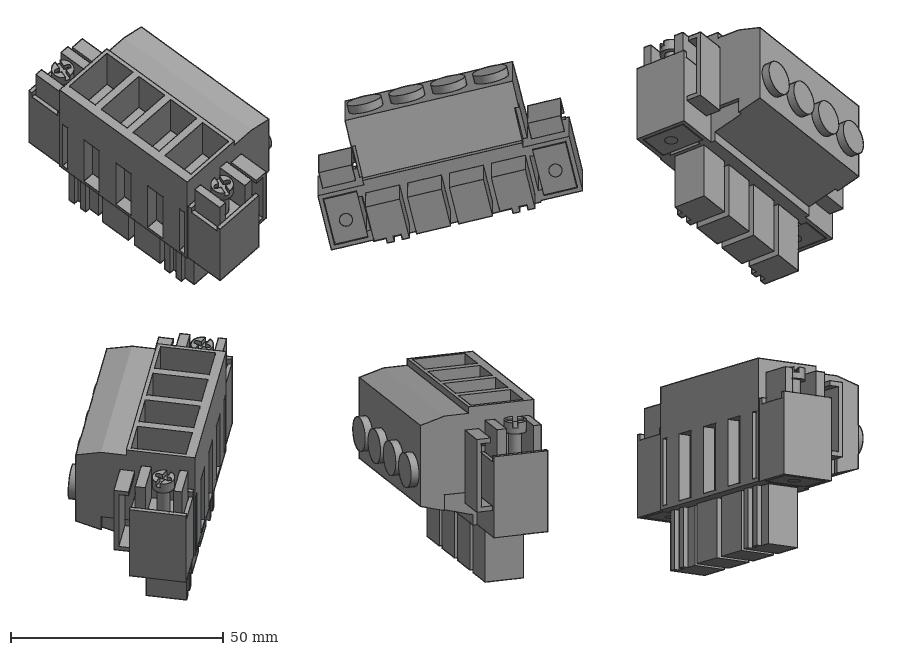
import cadquery as cq

pole_count = 4
pitch = 10.16
overlap = 0.5
pole_xs = [(i - (pole_count - 1) / 2) * pitch for i in range(pole_count)]
sides = (-1, 1)

housing_width = pole_count * pitch
half_width = housing_width / 2
housing_height = 29.65
housing_depth = 28.6
step_y = 16.5
step_z = 28.05
bevel_y = 22.5
bevel_z = 26.4
underside_back_z = 6.4
foot_y = 15.0
foot_top_z = 2.55

pole_width = 8.25
socket_front_y = 2.35
socket_back_y = 15.5
socket_depth = 12.0

window_depth = 3.05
window_bottom_z = 0.95
window_height = 16.1
window_width = 4.85
end_window_width = 1.55
end_window_inset = 0.95

tongue_length = 14.45
tongue_front_y = 2.2
tongue_back_y = 11.9
plain_tongue_setback = 0.55
key_depth = 1.3
key_rib_width = 1.7
key_groove_width = 1.95

end_recess_depth = 1.0
end_recess_back_y = 22.5
end_recess_height = 8.6

flange_width = pitch
flange_front_y = 0.35
flange_back_y = 13.9
flange_height = 20.0
flange_wall = 1.0
flange_opening_front_y = 2.9
flange_opening_back_y = 11.35
notch_bottom_z = 18.5

insert_clearance = 0.18
insert_floor_z = 16.9
insert_top_z = 26.2
insert_slot_front_y = 3.5
insert_slot_back_y = 10.3

hook_back_y = 17.8
hook_bottom_z = 6.4
hook_top_z = 24.35
hook_tip_y = 14.3
hook_thickness = 1.15

screw_y = 6.65
screw_head_diameter = 5.3
screw_head_bottom_z = 24.15
screw_head_height = 2.75
screw_shank_diameter = 3.1
cross_angle = -20
cross_width = 1.2
cross_short_length = 4.2
cross_depth = 1.25

clamp_screw_diameter = 8.3
clamp_screw_length = 2.0
clamp_screw_z = 14.1

flange_outer_x = half_width + flange_width
pocket_outer_x = flange_outer_x - flange_wall
pocket_inner_x = half_width + flange_wall
insert_outer_x = pocket_outer_x - insert_clearance
screw_x = half_width + flange_width / 2


def block(x_range, y_range, z_range):
    """Box between two limits on each axis; the X limits may come in either order."""
    x_low, x_high = sorted(x_range)
    y_low, y_high = y_range
    z_low, z_high = z_range
    size = (x_high - x_low, y_high - y_low, z_high - z_low)
    return cq.Workplane().box(*size, centered=False).translate((x_low, y_low, z_low))


def end_block(side, inner_x, outer_x, y_range, z_range):
    """Box at one end of the part; its X limits are distances from the middle."""
    return block((side * inner_x, side * outer_x), y_range, z_range)


def housing_core():
    """Side profile of the housing, extruded over all the poles."""
    profile = [
        (0, 0),
        (foot_y, 0),
        (foot_y, foot_top_z),
        (housing_depth, underside_back_z),
        (housing_depth, bevel_z),
        (bevel_y, step_z),
        (step_y, step_z),
        (step_y, housing_height),
        (0, housing_height),
    ]
    return cq.Workplane("YZ").polyline(profile).close().extrude(half_width, both=True)


def socket(x):
    """Wire socket sunk into the top of one pole."""
    z_range = (housing_height - socket_depth, housing_height + overlap)
    return block((x - pole_width / 2, x + pole_width / 2), (socket_front_y, socket_back_y), z_range)


def window(x, width):
    """Blind window in the front face."""
    z_range = (window_bottom_z, window_bottom_z + window_height)
    return block((x - width / 2, x + width / 2), (-overlap, window_depth), z_range)


def plain_tongue(x):
    """Tongue of an inner pole, set back from the keyed ones."""
    y_range = (tongue_front_y + plain_tongue_setback, tongue_back_y)
    return block((x - pole_width / 2, x + pole_width / 2), y_range, (-tongue_length, overlap))


def keyed_tongue(x):
    """Tongue of an outer pole, with two coding ribs on its front."""
    left = x - pole_width / 2
    z_range = (-tongue_length, overlap)
    key_back_y = tongue_front_y + key_depth
    tongue = block((left, left + pole_width), (key_back_y, tongue_back_y), z_range)
    for rib_left in (left, left + key_rib_width + key_groove_width):
        rib = block((rib_left, rib_left + key_rib_width), (tongue_front_y, key_back_y), z_range)
        tongue = tongue.union(rib)
    return tongue


def flange(side):
    """Sleeve open at top and bottom, with notched front and back walls and an opening to the housing."""
    full_z = (-overlap, flange_height + overlap)
    full_y = (flange_front_y, flange_back_y)
    inner_y = (flange_front_y + flange_wall, flange_back_y - flange_wall)
    opening_y = (flange_opening_front_y, flange_opening_back_y)
    notch_z = (notch_bottom_z, flange_height + overlap)
    sleeve = end_block(side, half_width, flange_outer_x, full_y, (0, flange_height))
    sleeve = sleeve.cut(end_block(side, pocket_inner_x, pocket_outer_x, inner_y, full_z))
    sleeve = sleeve.cut(end_block(side, pocket_inner_x, pocket_outer_x, full_y, notch_z))
    return sleeve.cut(end_block(side, half_width, pocket_inner_x, opening_y, full_z))


def hook(side):
    """C-shaped hook joined to the back wall of the flange by its lower arm."""
    profile = [
        (flange_back_y, hook_bottom_z),
        (hook_back_y, hook_bottom_z),
        (hook_back_y, hook_top_z),
        (hook_tip_y, hook_top_z),
        (hook_tip_y, hook_top_z - hook_thickness),
        (hook_back_y - hook_thickness, hook_top_z - hook_thickness),
        (hook_back_y - hook_thickness, hook_bottom_z + hook_thickness),
        (flange_back_y, hook_bottom_z + hook_thickness),
    ]
    width = insert_outer_x - pocket_inner_x
    middle_x = side * (insert_outer_x + pocket_inner_x) / 2
    solid = cq.Workplane("YZ").polyline(profile).close().extrude(width / 2, both=True)
    return solid.translate((middle_x, 0, 0))


def make_housing():
    """Housing with its sockets, windows, tongues, flanges and hooks."""
    body = housing_core()
    for x in pole_xs:
        body = body.cut(socket(x))
        is_outer = x in (pole_xs[0], pole_xs[-1])
        body = body.union(keyed_tongue(x) if is_outer else plain_tongue(x))
    for left_x, right_x in zip(pole_xs, pole_xs[1:]):
        body = body.cut(window((left_x + right_x) / 2, window_width))
    for side in sides:
        end_window_x = half_width - end_window_inset - end_window_width / 2
        body = body.cut(window(side * end_window_x, end_window_width))
        recess_y = (flange_back_y, end_recess_back_y)
        recess_inner_x = half_width - end_recess_depth
        recess_z = (-overlap, end_recess_height)
        body = body.cut(end_block(side, recess_inner_x, half_width + overlap, recess_y, recess_z))
        body = body.union(flange(side)).union(hook(side))
    return body


def make_flange_insert(side):
    """Block that fills the flange sleeve, with two upright plates and a hole for the screw."""
    margin = flange_wall + insert_clearance
    y_range = (flange_front_y + margin, flange_back_y - margin)
    slot_y = (insert_slot_front_y, insert_slot_back_y)
    body = end_block(side, pocket_inner_x, insert_outer_x, y_range, (0, insert_top_z))
    slot_z = (insert_floor_z, insert_top_z + overlap)
    body = body.cut(end_block(side, pocket_inner_x - overlap, insert_outer_x + overlap, slot_y, slot_z))
    hole = cq.Workplane().circle(screw_shank_diameter / 2).extrude(insert_floor_z)
    return body.cut(hole.translate((side * screw_x, screw_y, 0)))


def make_flange_screw(side):
    """Cross-recessed screw; the long arm of the cross runs out through the rim of the head."""
    head_top_z = screw_head_bottom_z + screw_head_height
    body = cq.Workplane().circle(screw_shank_diameter / 2).extrude(screw_head_bottom_z)
    head = cq.Workplane(origin=(0, 0, screw_head_bottom_z)).circle(screw_head_diameter / 2)
    body = body.union(head.extrude(screw_head_height))
    cross = (
        cq.Workplane(origin=(0, 0, head_top_z))
        .rect(screw_head_diameter + overlap, cross_width)
        .extrude(-cross_depth)
    )
    short_arm = cq.Workplane(origin=(0, 0, head_top_z)).slot2D(cross_short_length, cross_width, 90)
    cross = cross.union(short_arm.extrude(-cross_depth))
    cross = cross.rotate((0, 0, 0), (0, 0, 1), cross_angle)
    return body.cut(cross).translate((side * screw_x, screw_y, 0))


def make_clamp_screw(x):
    """Round clamp screw standing on the back face of one pole."""
    plane = cq.Workplane("XZ", origin=(x, housing_depth, clamp_screw_z))
    return plane.circle(clamp_screw_diameter / 2).extrude(-clamp_screw_length)


housing = make_housing()
flange_inserts = [make_flange_insert(side).val() for side in sides]
flange_screws = [make_flange_screw(side).val() for side in sides]
clamp_screws = [make_clamp_screw(x).val() for x in pole_xs]

result = cq.Compound.makeCompound([housing.val(), *flange_inserts, *flange_screws, *clamp_screws])